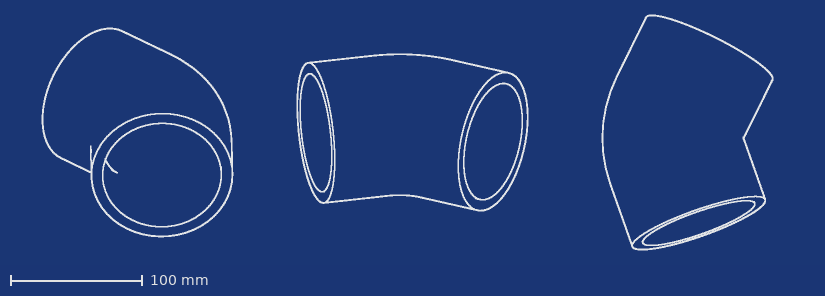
import cadquery as cq

outer_diameter = 107.0
bore_diameter = 90.0
straight_length = 51.0
bend_angle = 45.0
inside_clearance = 0.02

bend_radius = outer_diameter / 2 + inside_clearance
bend_start = cq.Vector(straight_length, 0, 0)
bend_centre = cq.Vector(straight_length, -bend_radius, 0)


def straight_rod(diameter):
    """Solid rod from the inlet face to the start of the bend."""
    return cq.Workplane("YZ").circle(diameter / 2).extrude(straight_length)


def bend_rod(diameter):
    """Solid rod revolved about the vertical bend axis, clockwise seen from +Z."""
    return (
        cq.Workplane("YZ", origin=bend_start.toTuple())
        .circle(diameter / 2)
        .revolve(bend_angle, (-bend_radius, 0), (-bend_radius, -1))
    )


def outlet_rod(diameter):
    """Solid rod leaving the bend, as long as the inlet."""
    rod = straight_rod(diameter).translate(bend_start.toTuple())
    axis_top = bend_centre + cq.Vector(0, 0, 1)
    return rod.rotate(bend_centre.toTuple(), axis_top.toTuple(), -bend_angle)


def elbow_rod(diameter):
    """Solid rod following the whole centreline."""
    return straight_rod(diameter).union(bend_rod(diameter)).union(outlet_rod(diameter))


result = elbow_rod(outer_diameter).cut(elbow_rod(bore_diameter))